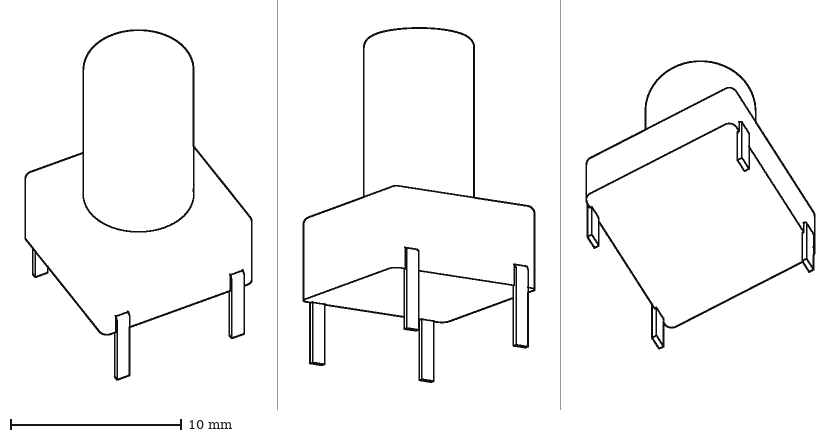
import cadquery as cq

HOUSING_WIDTH = 10.1
HOUSING_HEIGHT = 5.06
EDGE_RADIUS = 0.5

PLUNGER_DIAMETER = 6.5
PLUNGER_EDGE_RADIUS = 0.5

OVERALL_WIDTH = 10.47
OVERALL_HEIGHT = 19.1
LEG_THICKNESS = 0.3
LEG_WIDTH = 0.84
LEG_PITCH = 7.64
LEG_DROP = 3.63
LEG_TOP = 1.3

leg_outer_x = OVERALL_WIDTH / 2
leg_inner_x = leg_outer_x - LEG_THICKNESS
plunger_top = OVERALL_HEIGHT - LEG_DROP


def make_leg(side, y):
    """One leg on the X side given by side (-1 or +1), its top a quarter round across the full thickness."""
    return (
        cq.Workplane("XZ", origin=(0, y, 0))
        .moveTo(side * leg_inner_x, -LEG_DROP)
        .lineTo(side * leg_outer_x, -LEG_DROP)
        .lineTo(side * leg_outer_x, LEG_TOP - LEG_THICKNESS)
        .tangentArcPoint((side * leg_inner_x, LEG_TOP), relative=False)
        .close()
        .extrude(LEG_WIDTH / 2, both=True)
    )


def make_housing(fitted_legs):
    """Rounded box with a slot matching each leg."""
    body = (
        cq.Workplane("XY")
        .box(HOUSING_WIDTH, HOUSING_WIDTH, HOUSING_HEIGHT, centered=(True, True, False))
        .edges("|Z or >Z")
        .fillet(EDGE_RADIUS)
    )
    for leg in fitted_legs:
        body = body.cut(leg)
    return body.solids()


def make_plunger():
    """Round button standing on the housing, with a rounded top edge."""
    return (
        cq.Workplane("XY")
        .workplane(offset=HOUSING_HEIGHT)
        .circle(PLUNGER_DIAMETER / 2)
        .extrude(plunger_top - HOUSING_HEIGHT)
        .faces(">Z")
        .edges()
        .fillet(PLUNGER_EDGE_RADIUS)
    )


legs = [make_leg(side, y) for side in (-1, 1) for y in (-LEG_PITCH / 2, LEG_PITCH / 2)]
housing = make_housing(legs)
plunger = make_plunger()

result = cq.Compound.makeCompound([housing.val(), plunger.val(), *[leg.val() for leg in legs]])